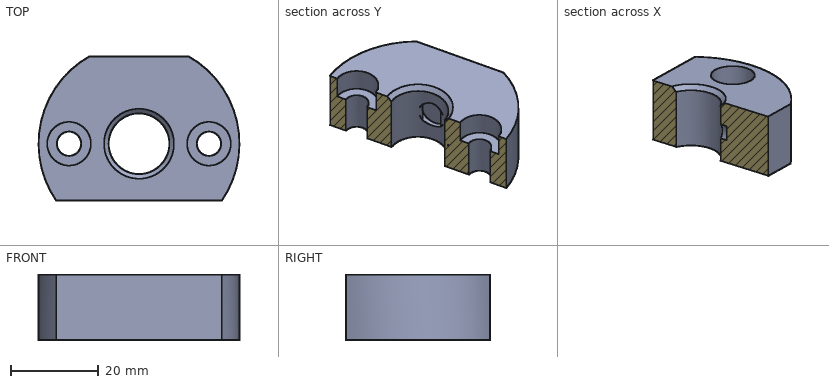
import cadquery as cq

body_diameter = 46.0
thickness = 15.0
front_flat = 13.0
back_flat = 20.0

bore_diameter = 13.84
bore_mouth_diameter = 16.0
bore_chamfer = (bore_mouth_diameter - bore_diameter) / 2

mount_offset = 16.0
mount_diameter = 5.5
counterbore_diameter = 10.0
counterbore_depth = 5.4

pocket_diameter = 6.65
pocket_start = 6.5
pocket_end = 8.0
pocket_height = thickness / 2


def make_body():
    disc = cq.Workplane("XY").circle(body_diameter / 2).extrude(thickness)
    depth = front_flat + back_flat
    slab = (
        cq.Workplane("XY")
        .center(0, (back_flat - front_flat) / 2)
        .rect(body_diameter, depth)
        .extrude(thickness)
    )
    return disc.intersect(slab)


def cut_bore(part):
    part = part.faces(">Z").workplane(origin=(0, 0, 0)).hole(bore_diameter)
    mouth = cq.Solid.makeCone(
        bore_diameter / 2,
        bore_mouth_diameter / 2,
        bore_chamfer,
        pnt=cq.Vector(0, 0, thickness - bore_chamfer),
    )
    return part.cut(cq.Workplane(obj=mouth))


def cut_mounting_holes(part):
    return (
        part.faces(">Z")
        .workplane(origin=(0, 0, 0))
        .pushPoints([(-mount_offset, 0), (mount_offset, 0)])
        .cboreHole(mount_diameter, counterbore_diameter, counterbore_depth)
    )


def cut_pocket(part):
    pocket = cq.Solid.makeCylinder(
        pocket_diameter / 2,
        pocket_end - pocket_start,
        pnt=cq.Vector(0, pocket_start, pocket_height),
        dir=cq.Vector(0, 1, 0),
    )
    return part.cut(cq.Workplane(obj=pocket))


result = cut_pocket(cut_mounting_holes(cut_bore(make_body())))